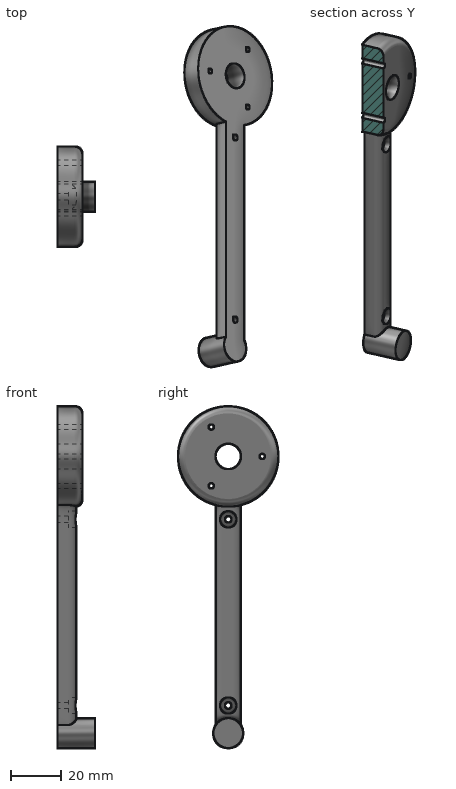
import cadquery as cq
import math


disc_diameter = 40.0
disc_thickness = 10.0
disc_edge_radius = 3.0
bore_diameter = 10.0
screw_hole_diameter = 2.0
screw_circle_radius = 13.5
screw_count = 3

arm_length = 110.0
arm_width = 10.0
arm_thickness = 7.5
arm_edge_radius = 3.0
arm_hole_diameter = 2.5
arm_counterbore_diameter = 6.5
arm_counterbore_depth = 3.0
arm_hole_distances = (25.0, 99.0)

peg_diameter = 12.0
peg_height = 15.0


def cylinder(diameter, start, end, y=0.0, z=0.0):
    """Cylinder along X between two X positions, centred at (y, z)."""
    return cq.Workplane("YZ", origin=(start, y, z)).circle(diameter / 2).extrude(end - start)


def make_disc():
    disc = cylinder(disc_diameter, 0, disc_thickness)
    return disc.faces(">X").edges().fillet(disc_edge_radius)


def make_arm():
    arm = (
        cq.Workplane("XY")
        .center(arm_thickness / 2, 0)
        .rect(arm_thickness, arm_width)
        .extrude(-arm_length)
    )
    return arm.faces(">X").edges("|Z").fillet(arm_edge_radius)


def make_peg():
    return cylinder(peg_diameter, 0, peg_height, z=-arm_length)


def cut_disc_holes(body):
    body = body.cut(cylinder(bore_diameter, 0, disc_thickness))
    for index in range(screw_count):
        angle = 2 * math.pi * index / screw_count
        y = screw_circle_radius * math.cos(angle)
        z = screw_circle_radius * math.sin(angle)
        body = body.cut(cylinder(screw_hole_diameter, 0, disc_thickness, y, z))
    return body


def cut_arm_holes(body):
    counterbore_floor = arm_thickness - arm_counterbore_depth
    for distance in arm_hole_distances:
        through_hole = cylinder(arm_hole_diameter, 0, arm_thickness, z=-distance)
        counterbore = cylinder(arm_counterbore_diameter, counterbore_floor, arm_thickness, z=-distance)
        body = body.cut(through_hole).cut(counterbore)
    return body


body = make_disc().union(make_arm()).union(make_peg())
body = cut_disc_holes(body)
result = cut_arm_holes(body)